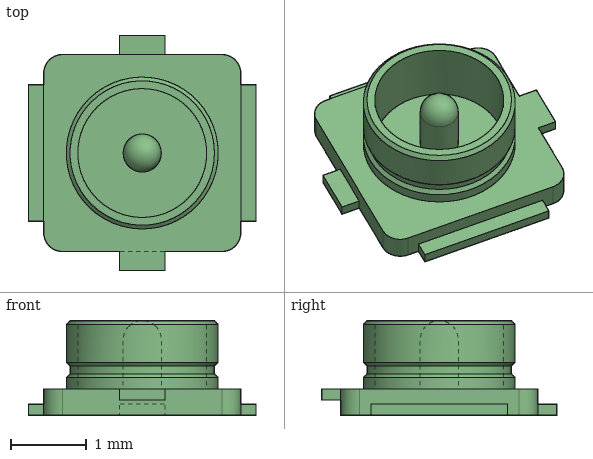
import cadquery as cq

overall_x = 3.0
overall_y = 3.1
overall_z = 1.25

base_side = 2.6
base_height = 0.35
base_corner_radius = 0.25

tab_thickness = 0.15
side_tab_width = 1.8
end_tab_width = 0.6

barrel_radius = 1.0
bore_radius = 0.85
chamfer = 0.05
groove_radius = barrel_radius - chamfer
groove_bottom = 0.5
groove_floor_height = 0.102

pin_radius = 0.25


def make_base():
    base = cq.Workplane("XY").box(base_side, base_side, base_height, centered=(True, True, False))
    return base.edges("|Z").fillet(base_corner_radius)


def make_side_tabs():
    """One bar under the base that shows as a tab on both X sides."""
    return cq.Workplane("XY").box(overall_x, side_tab_width, tab_thickness, centered=(True, True, False))


def make_end_tab(direction, bottom):
    """Tab from the centre of the base to the end at -Y or +Y."""
    length = overall_y / 2
    tab = cq.Workplane("XY").box(end_tab_width, length, tab_thickness, centered=(True, True, False))
    return tab.translate((0, direction * length / 2, bottom))


def make_barrel():
    groove_floor_start = groove_bottom + chamfer
    groove_floor_end = groove_floor_start + groove_floor_height
    profile = [
        (bore_radius, 0),
        (barrel_radius, 0),
        (barrel_radius, groove_bottom),
        (groove_radius, groove_floor_start),
        (groove_radius, groove_floor_end),
        (barrel_radius, groove_floor_end + chamfer),
        (barrel_radius, overall_z - chamfer),
        (barrel_radius - chamfer, overall_z),
        (bore_radius, overall_z),
    ]
    return cq.Workplane("XZ").polyline(profile).close().revolve(360, (0, 0), (0, 1))


def make_pin():
    tip_center = overall_z - pin_radius
    shank = cq.Workplane("XY").circle(pin_radius).extrude(tip_center)
    tip = cq.Workplane("XY").sphere(pin_radius).translate((0, 0, tip_center))
    return shank.union(tip)


result = make_base().union(make_side_tabs())
result = result.union(make_end_tab(-1, base_height - tab_thickness))
result = result.union(make_end_tab(1, 0))
result = result.union(make_barrel()).union(make_pin())